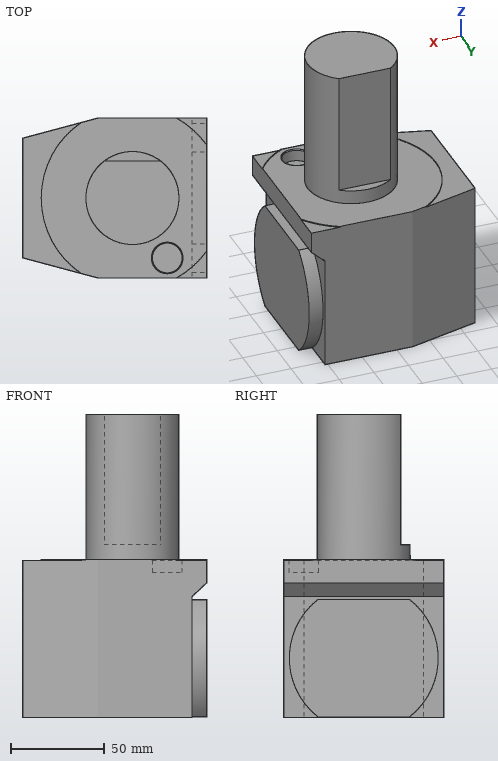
import math

import cadquery as cq


body_height = 85.0
body_half_width = 43.0
back_x = -59.0
front_x = 40.0
taper_length = 40.4
taper_angle = math.radians(15.0)
taper_start_x = back_x + taper_length
back_half_width = body_half_width - taper_length * math.tan(taper_angle)

setback = 8.0
recessed_face_x = front_x - setback
lip_underside_z = 72.5
lip_slope_height = 7.5

seat_radius = 49.0
seat_step = 0.5

shank_diameter = 50.0
shank_length = 78.0
flat_y = 20.0
flat_start_height = 8.0

hole_diameter = 16.0
hole_x = 18.7
hole_y = -32.2
hole_depth = 7.0
hole_chamfer = 0.5

pad_radius = 40.0
pad_center_z = 32.0
pad_height = 63.0


def make_body():
    outline = [
        (back_x, -back_half_width),
        (taper_start_x, -body_half_width),
        (front_x, -body_half_width),
        (front_x, body_half_width),
        (taper_start_x, body_half_width),
        (back_x, back_half_width),
    ]
    block = cq.Workplane("XY").polyline(outline).close().extrude(body_height)
    undercut = (
        cq.Workplane("XZ")
        .moveTo(recessed_face_x, 0)
        .lineTo(recessed_face_x, lip_underside_z - lip_slope_height)
        .lineTo(front_x, lip_underside_z)
        .lineTo(front_x, 0)
        .close()
        .extrude(body_half_width, both=True)
    )
    return block.cut(undercut)


def make_seat_relief():
    """Shallow layer outside the seating circle, to be removed from the top."""
    relief_size = 4 * seat_radius
    return (
        cq.Workplane("XY", origin=(0, 0, body_height - seat_step))
        .rect(relief_size, relief_size)
        .circle(seat_radius)
        .extrude(seat_step)
    )


def make_shank():
    shank = (
        cq.Workplane("XY", origin=(0, 0, body_height))
        .circle(shank_diameter / 2)
        .extrude(shank_length)
    )
    flat_cutter = (
        cq.Workplane("XY", origin=(0, flat_y, body_height + flat_start_height))
        .rect(shank_diameter, shank_diameter)
        .extrude(shank_length - flat_start_height)
        .translate((0, shank_diameter / 2, 0))
    )
    return shank.cut(flat_cutter)


def make_hole():
    """Blind hole with a 45-degree chamfer at its mouth."""
    radius = hole_diameter / 2
    profile = [
        (0, -hole_depth),
        (radius, -hole_depth),
        (radius, -hole_chamfer),
        (radius + hole_chamfer, 0),
        (0, 0),
    ]
    cutter = cq.Workplane("XZ").polyline(profile).close().revolve(360, (0, 0), (0, 1))
    return cutter.translate((hole_x, hole_y, body_height))


def make_pad():
    base = cq.Workplane("YZ", origin=(recessed_face_x, 0, pad_center_z))
    disc = base.circle(pad_radius).extrude(setback)
    band = base.rect(2 * pad_radius, pad_height).extrude(setback)
    return disc.intersect(band)


result = (
    make_body()
    .cut(make_seat_relief())
    .union(make_shank())
    .cut(make_hole())
    .union(make_pad())
)